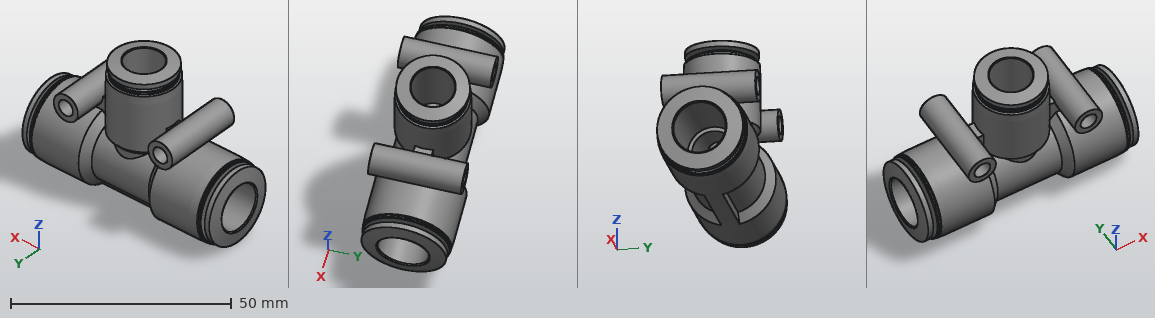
import cadquery as cq

run_half_length = 28.4
run_diameter = 21.0
waist_diameter = 16.8
shoulder_half_width = 10.55
shoulder_drop = (run_diameter - waist_diameter) / 2
run_bore_diameter = 10.0
run_socket_diameter = 12.0
run_mouth_diameter = 12.6
run_collar_diameter = 19.8
run_neck_diameter = 13.4
run_ring_diameter = 20.6
run_tip_diameter = 20.8
run_socket_depth = 17.85

overall_height = 38.5
branch_top = overall_height - run_diameter / 2
branch_diameter = 17.5
branch_shoulder = 8.65
branch_root_diameter = 14.0
branch_cone_height = (branch_diameter - branch_root_diameter) / 2
branch_bore_diameter = 6.1
branch_socket_diameter = 10.0
branch_mouth_diameter = 10.4
branch_collar_diameter = 16.8
branch_neck_diameter = 11.4
branch_ring_diameter = 16.3
branch_tip_diameter = 17.3
branch_socket_depth = 17.6

face_cone_depth = 0.6
collar_depth = 2.0
neck_cone_depth = 2.35
neck_cone_flare = 0.15
ring_start = 2.95
ring_end = 3.85
ring_edge = 0.2
tip_depth = 6.1

lug_offset = 14.05
lug_diameter = 7.2
lug_hole_diameter = 4.2
lug_length = 21.7
web_thickness = 4.25


def port_end(collar_d, neck_d, ring_d, tip_d, body_d, mouth_d):
    """Solid collar, neck, ring and tapered tip; face at Z = 0, extending to -Z."""
    mouth_r = mouth_d / 2
    collar_r = collar_d / 2
    neck_r = neck_d / 2
    ring_r = ring_d / 2
    return (
        cq.Workplane("XZ")
        .lineTo(mouth_r, 0)
        .lineTo(collar_r, -face_cone_depth)
        .lineTo(collar_r, -collar_depth)
        .lineTo(neck_r + neck_cone_flare, -collar_depth)
        .lineTo(neck_r, -neck_cone_depth)
        .lineTo(neck_r, -ring_start)
        .lineTo(ring_r - ring_edge, -ring_start)
        .lineTo(ring_r, -ring_start - ring_edge)
        .lineTo(ring_r, -ring_end + ring_edge)
        .lineTo(ring_r - ring_edge, -ring_end)
        .lineTo(tip_d / 2, -ring_end)
        .lineTo(body_d / 2, -tip_depth)
        .lineTo(0, -tip_depth)
        .close()
        .revolve(360, (0, 0, 0), (0, 1, 0))
    )


def port_socket(mouth_d, socket_d, depth):
    """Cutter for a tube socket with a chamfered mouth; face at Z = 0."""
    lead_in = (mouth_d - socket_d) / 2
    return (
        cq.Workplane("XZ")
        .lineTo(mouth_d / 2, 0)
        .lineTo(socket_d / 2, -lead_in)
        .lineTo(socket_d / 2, -depth)
        .lineTo(0, -depth)
        .close()
        .revolve(360, (0, 0, 0), (0, 1, 0))
    )


def place_on_run(shape, side):
    """Turn a port shape to face +X or -X and move it to that end of the run."""
    turned = shape.rotate((0, 0, 0), (0, 1, 0), side * 90)
    return turned.translate((side * run_half_length, 0, 0))


def run_body():
    """Run barrel with a narrower waist between conical shoulders."""
    barrel_end = run_half_length - tip_depth
    waist_half = shoulder_half_width - shoulder_drop
    return (
        cq.Workplane("XY")
        .moveTo(-barrel_end, 0)
        .lineTo(-barrel_end, run_diameter / 2)
        .lineTo(-shoulder_half_width, run_diameter / 2)
        .lineTo(-waist_half, waist_diameter / 2)
        .lineTo(waist_half, waist_diameter / 2)
        .lineTo(shoulder_half_width, run_diameter / 2)
        .lineTo(barrel_end, run_diameter / 2)
        .lineTo(barrel_end, 0)
        .close()
        .revolve(360, (0, 0, 0), (1, 0, 0))
    )


def branch_body():
    """Branch barrel with a conical shoulder above its narrower root."""
    root_r = branch_root_diameter / 2
    return (
        cq.Workplane("XZ")
        .lineTo(root_r, 0)
        .lineTo(root_r, branch_shoulder - branch_cone_height)
        .lineTo(branch_diameter / 2, branch_shoulder)
        .lineTo(branch_diameter / 2, branch_top - tip_depth)
        .lineTo(0, branch_top - tip_depth)
        .close()
        .revolve(360, (0, 0, 0), (0, 1, 0))
    )


def cross_cylinder(diameter, x):
    """Cylinder along Y at the height of the lugs."""
    return (
        cq.Workplane("XZ")
        .center(x, lug_offset)
        .circle(diameter / 2)
        .extrude(lug_length)
        .translate((0, lug_length / 2, 0))
    )


def webs():
    """Upper web joining the lugs and lower web joining the run shoulders."""
    upper = cq.Workplane("XY").box(
        2 * lug_offset, web_thickness, lug_offset, centered=(True, True, False)
    )
    lower = cq.Workplane("XY").box(
        2 * shoulder_half_width, web_thickness, run_diameter / 2, centered=(True, True, False)
    )
    barrel = cq.Workplane("YZ").circle(run_diameter / 2).extrude(shoulder_half_width, both=True)
    return upper.union(lower.translate((0, 0, -run_diameter / 2)).intersect(barrel))


result = run_body().union(branch_body()).union(webs())
run_port = port_end(
    run_collar_diameter,
    run_neck_diameter,
    run_ring_diameter,
    run_tip_diameter,
    run_diameter,
    run_mouth_diameter,
)
branch_port = port_end(
    branch_collar_diameter,
    branch_neck_diameter,
    branch_ring_diameter,
    branch_tip_diameter,
    branch_diameter,
    branch_mouth_diameter,
)
for side in (-1, 1):
    result = result.union(place_on_run(run_port, side))
    result = result.union(cross_cylinder(lug_diameter, side * lug_offset))
result = result.union(branch_port.translate((0, 0, branch_top)))

run_socket = port_socket(run_mouth_diameter, run_socket_diameter, run_socket_depth)
branch_socket = port_socket(branch_mouth_diameter, branch_socket_diameter, branch_socket_depth)
for side in (-1, 1):
    result = result.cut(place_on_run(run_socket, side))
    result = result.cut(cross_cylinder(lug_hole_diameter, side * lug_offset))
run_bore = cq.Workplane("YZ").circle(run_bore_diameter / 2).extrude(run_half_length, both=True)
branch_bore = cq.Workplane("XY").circle(branch_bore_diameter / 2).extrude(branch_top)
result = result.cut(run_bore).cut(branch_bore)
result = result.cut(branch_socket.translate((0, 0, branch_top)))